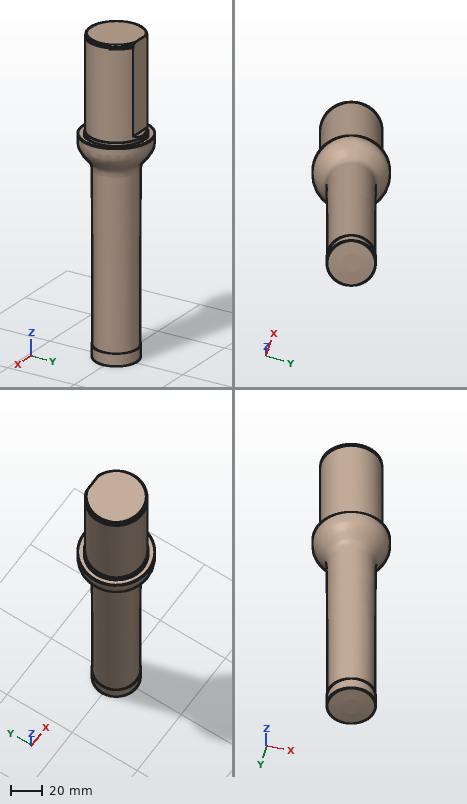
import cadquery as cq

TOTAL_LENGTH = 226.0
TIP_RISE = 0.7
HEAD_TOP = 9.7
STEM_TAPER_START = 71.2
STEM_TAPER_END = 127.0
NECK_TOP = 131.8
FLANGE_BOTTOM = 151.6
FLANGE_TOP = 156.5
SHANK_BOTTOM = 158.5
FLAT_BOTTOM = 161.4

HEAD_RADIUS = 31.5 / 2
TIP_RADIUS = 6.0
STEM_RADIUS = 30.7 / 2
NECK_RADIUS = 31.5 / 2
FLANGE_RADIUS = 49.5 / 2
UNDERCUT_RADIUS = 39.5 / 2
SHANK_RADIUS = 40.0 / 2

FLANGE_CHAMFER = 0.5
RELIEF_WIDTH = 1.0
RELIEF_DEPTH = 0.7
HEAD_CHAMFER = 0.5
UNDERCUT_TAPER = 0.5
END_CHAMFER_WIDTH = 1.0
END_CHAMFER_HEIGHT = 1.1
PILOT_BOTTOM = 223.7
PILOT_TAPER = 0.7
FLAT_DISTANCE = 18.0

CONCAVE_POINT = (17.0, 137.0)
FLARE_MIDDLE = (21.7, 142.8)
CONVEX_POINT = (24.0, 147.0)


def revolve_profile(outline):
    """Turn a closed (radius, height) outline around the Z axis."""
    return outline.close().revolve(360, (0, 0, 0), (0, 1, 0))


def make_head():
    """Short cutting head with a shallow conical tip and a chamfered rim."""
    outline = (
        cq.Workplane("XZ")
        .lineTo(TIP_RADIUS, 0)
        .lineTo(HEAD_RADIUS - HEAD_CHAMFER, TIP_RISE)
        .lineTo(HEAD_RADIUS, TIP_RISE + HEAD_CHAMFER)
        .lineTo(HEAD_RADIUS, HEAD_TOP)
        .lineTo(0, HEAD_TOP)
    )
    return revolve_profile(outline)


def make_holder_blank():
    """Stem, flared flange and round shank as one turned shape."""
    outline = (
        cq.Workplane("XZ")
        .moveTo(0, HEAD_TOP)
        .lineTo(STEM_RADIUS, HEAD_TOP)
        .lineTo(STEM_RADIUS, STEM_TAPER_START)
        .lineTo(NECK_RADIUS, STEM_TAPER_END)
        .lineTo(NECK_RADIUS, NECK_TOP)
        .spline(
            [CONCAVE_POINT, FLARE_MIDDLE, CONVEX_POINT, (FLANGE_RADIUS, FLANGE_BOTTOM)],
            tangents=[(0, 1), (0, 1)],
            includeCurrent=True,
        )
        .lineTo(FLANGE_RADIUS, FLANGE_TOP - FLANGE_CHAMFER)
        .lineTo(FLANGE_RADIUS - FLANGE_CHAMFER, FLANGE_TOP)
        .lineTo(UNDERCUT_RADIUS + RELIEF_WIDTH, FLANGE_TOP)
        .lineTo(UNDERCUT_RADIUS + RELIEF_WIDTH, FLANGE_TOP - RELIEF_DEPTH)
        .lineTo(UNDERCUT_RADIUS, FLANGE_TOP - RELIEF_DEPTH)
        .lineTo(UNDERCUT_RADIUS, SHANK_BOTTOM - UNDERCUT_TAPER)
        .lineTo(SHANK_RADIUS, SHANK_BOTTOM)
        .lineTo(SHANK_RADIUS, PILOT_BOTTOM - PILOT_TAPER)
        .lineTo(UNDERCUT_RADIUS, PILOT_BOTTOM)
        .lineTo(UNDERCUT_RADIUS, TOTAL_LENGTH - END_CHAMFER_HEIGHT)
        .lineTo(UNDERCUT_RADIUS - END_CHAMFER_WIDTH, TOTAL_LENGTH)
        .lineTo(0, TOTAL_LENGTH)
    )
    return revolve_profile(outline)


def make_flat_cutter():
    """Prism that cuts the shank flat, with a 45 degree run-out at its lower end."""
    depth = SHANK_RADIUS - FLAT_DISTANCE
    return (
        cq.Workplane("YZ")
        .moveTo(FLAT_DISTANCE, FLAT_BOTTOM)
        .lineTo(FLAT_DISTANCE, TOTAL_LENGTH)
        .lineTo(FLAT_DISTANCE + depth, TOTAL_LENGTH)
        .lineTo(FLAT_DISTANCE + depth, FLAT_BOTTOM - depth)
        .close()
        .extrude(SHANK_RADIUS, both=True)
    )


head = make_head()
holder = make_holder_blank().cut(make_flat_cutter())

result = cq.Compound.makeCompound([head.val(), holder.val()])